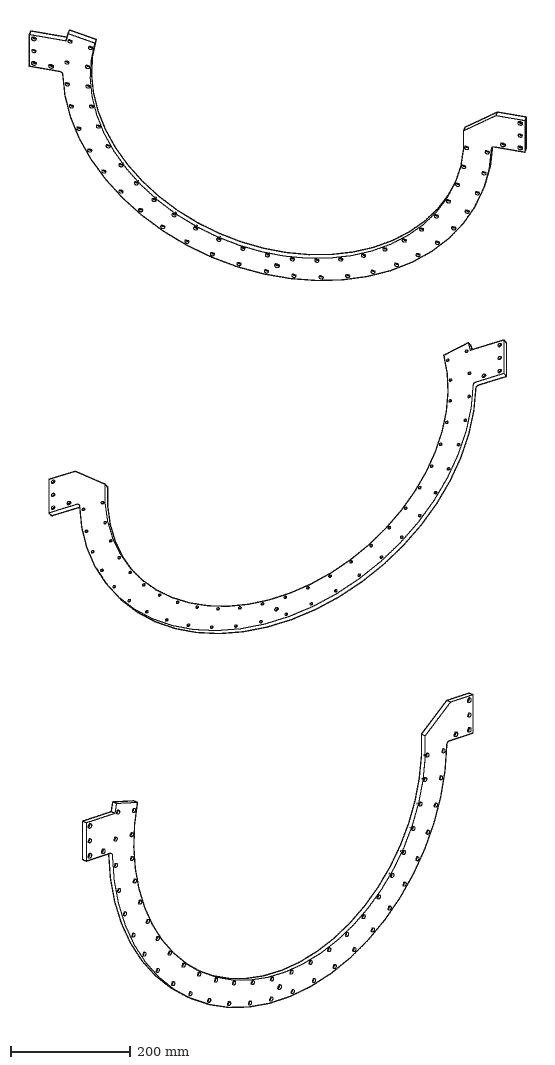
import cadquery as cq
import math

thickness = 10.0
inner_radius = 325.0
outer_radius = 373.0
overall_height = 455.89

end_angle = math.degrees(math.asin(overall_height / outer_radius - 1.0))

flange_half_span = 431.0
flange_top = 66.0
flange_height = 70.0
flange_bottom = flange_top - flange_height
corner_fillet = 5.0

bevel_top_x = flange_half_span - 50.0
bevel_foot_z = 20.0

row_radii = (330.0, 366.0)
row_hole_diameter = 4.5
row_counterbore_diameter = 6.8
row_hole_count = 26
row_step_angle = 7.5
row_start_angle = 169.6

bottom_hole_radius = (inner_radius + outer_radius) / 2

flange_hole_margin = 8.0
flange_inner_bolt_offset = 30.0
bolt_diameter = 6.5
bolt_counterbore_diameter = 8.0
pin_diameter = 6.0
pin_counterbore_diameter = 6.8

counterbore_depth = thickness / 2


def polar(radius, angle):
    """Point on a circle around the ring centre, angle in degrees from +X."""
    return (radius * math.cos(math.radians(angle)), radius * math.sin(math.radians(angle)))


def arc_x(radius, z):
    """Distance from the Z axis to a ring edge at height z."""
    return math.sqrt(radius**2 - z**2)


def make_plate():
    """Ring arc with its two flanges, the inside corners below the flanges rounded."""
    left_end = 180.0 - end_angle
    outer_top_x = arc_x(outer_radius, flange_top)
    outer_bottom_x = arc_x(outer_radius, flange_bottom)
    outline = (
        cq.Workplane("XZ")
        .moveTo(*polar(inner_radius, left_end))
        .lineTo(*polar(outer_radius, left_end))
        .radiusArc((-outer_top_x, flange_top), -outer_radius)
        .lineTo(-flange_half_span, flange_top)
        .lineTo(-flange_half_span, flange_bottom)
        .lineTo(-outer_bottom_x, flange_bottom)
        .threePointArc((0, -outer_radius), (outer_bottom_x, flange_bottom))
        .lineTo(flange_half_span, flange_bottom)
        .lineTo(flange_half_span, flange_top)
        .lineTo(bevel_top_x, flange_top)
        .lineTo(arc_x(inner_radius, bevel_foot_z), bevel_foot_z)
        .threePointArc((0, -inner_radius), polar(inner_radius, left_end))
        .close()
    )
    plate = outline.extrude(thickness / 2, both=True)
    for side in (-1, 1):
        corner = (side * outer_bottom_x, 0, flange_bottom)
        nearest = cq.selectors.NearestToPointSelector(corner)
        plate = plate.edges("|Y").edges(nearest).fillet(corner_fillet)
    return plate


def drill(plate, points, hole_diameter, counterbore_diameter):
    """Cut stepped through holes along Y at the given (x, z) points."""
    holes = (
        cq.Workplane("XZ")
        .pushPoints(points)
        .circle(hole_diameter / 2)
        .extrude(thickness, both=True)
    )
    counterbore_floor = -thickness / 2 + counterbore_depth
    counterbores = (
        cq.Workplane("XZ", origin=(0, counterbore_floor, 0))
        .pushPoints(points)
        .circle(counterbore_diameter / 2)
        .extrude(thickness)
    )
    return plate.cut(holes).cut(counterbores)


def row_points(radius):
    """Evenly spaced hole positions along one row of the ring."""
    return [polar(radius, row_start_angle + i * row_step_angle) for i in range(row_hole_count)]


def flange_points(side):
    """Bolt and pin positions of one flange; side is -1 for left, +1 for right."""
    edge_x = side * (flange_half_span - flange_hole_margin)
    inner_x = edge_x - side * flange_inner_bolt_offset
    upper_z = flange_top - flange_hole_margin
    lower_z = flange_bottom + flange_hole_margin
    bolts = [(edge_x, upper_z), (edge_x, lower_z), (inner_x, lower_z)]
    pins = [(edge_x, (upper_z + lower_z) / 2)]
    return bolts, pins


result = make_plate()
for row_radius in row_radii:
    result = drill(result, row_points(row_radius), row_hole_diameter, row_counterbore_diameter)
result = drill(result, [(0, -bottom_hole_radius)], bolt_diameter, bolt_counterbore_diameter)
for flange_side in (-1, 1):
    bolt_points, pin_points = flange_points(flange_side)
    result = drill(result, bolt_points, bolt_diameter, bolt_counterbore_diameter)
    result = drill(result, pin_points, pin_diameter, pin_counterbore_diameter)